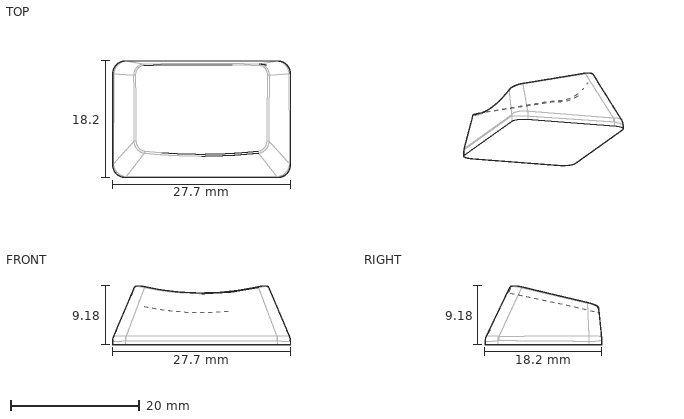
import cadquery as cq
import math

length = 27.7
width = 18.16
skirt_height = 1.0
skirt_bend_radius = 1.65
corner_radius = 2.0

top_tilt = 13.4
top_length = 20.7
top_front_y = -4.95
top_back_y = 8.53
top_front_z = 9.6
top_corner_radius = 1.75

dish_front_radius = 37.38
dish_back_radius = 44.85
dish_front_depth = 1.6
dish_back_depth = 1.38
dish_overrun = 5.55
rim_radius = 0.28

tilt = math.radians(top_tilt)
down_slope = cq.Vector(0, math.cos(tilt), -math.sin(tilt))
top_normal = cq.Vector(0, math.sin(tilt), math.cos(tilt))
slope_width = (top_back_y - top_front_y) / math.cos(tilt)
top_center = cq.Vector(0, top_front_y, top_front_z) + down_slope * (slope_width / 2)


def rounded_rectangle(size_x, size_y, radius):
    """Outline of a rectangle with rounded corners."""
    return cq.Sketch().rect(size_x, size_y).vertices().fillet(radius)


def wall_blank():
    """Upright skirt under four leaning walls that end in a sloping top."""
    base_outline = rounded_rectangle(length, width, corner_radius)
    top_outline = rounded_rectangle(top_length, slope_width, top_corner_radius)
    base_location = cq.Location(cq.Vector(0, 0, skirt_height))
    top_location = cq.Location(cq.Plane(top_center, (1, 0, 0), top_normal))

    skirt = cq.Workplane("XY").placeSketch(base_outline).extrude(skirt_height)
    walls = (
        cq.Workplane("XY")
        .placeSketch(base_outline.moved(base_location), top_outline.moved(top_location))
        .loft(ruled=True)
    )
    margin = 0.03
    bend_line = cq.selectors.BoxSelector(
        (-length, -width, skirt_height - margin),
        (length, width, skirt_height + margin),
    )
    return skirt.union(walls).edges(bend_line).fillet(skirt_bend_radius)


def dish_circle(run):
    """Circular section of the dish at a distance down the slope from the front."""
    fraction = run / slope_width
    radius = dish_front_radius + (dish_back_radius - dish_front_radius) * fraction
    depth = dish_front_depth + (dish_back_depth - dish_front_depth) * fraction
    middle = top_center + down_slope * (run - slope_width / 2)
    center = middle + top_normal * (radius - depth)
    return cq.Wire.makeCircle(radius, center, down_slope)


def dish_cutter():
    """Tapered round bar that scoops the dish out of the sloping top."""
    front_circle = dish_circle(-dish_overrun)
    back_circle = dish_circle(slope_width + dish_overrun)
    return cq.Workplane(cq.Solid.makeLoft([front_circle, back_circle], True))


keycap = wall_blank().cut(dish_cutter())
dish_middle = top_center - top_normal * ((dish_front_depth + dish_back_depth) / 2)
dish_face = keycap.faces(cq.selectors.NearestToPointSelector(dish_middle.toTuple()))
result = dish_face.edges().fillet(rim_radius)